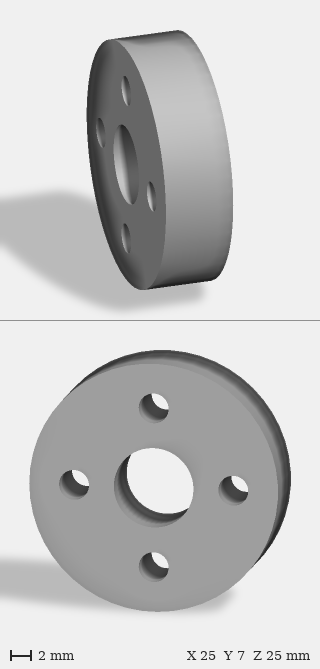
import cadquery as cq

outer_diameter = 25
thickness = 7
bore_diameter = 8
bolt_hole_diameter = 3
bolt_circle_diameter = 16
bolt_hole_count = 4

disc = cq.Workplane("XZ").cylinder(thickness, outer_diameter / 2)

bored_disc = disc.faces("<Y").workplane().hole(bore_diameter)

result = (
    bored_disc.faces("<Y")
    .workplane()
    .polarArray(bolt_circle_diameter / 2, 0, 360, bolt_hole_count)
    .hole(bolt_hole_diameter)
)